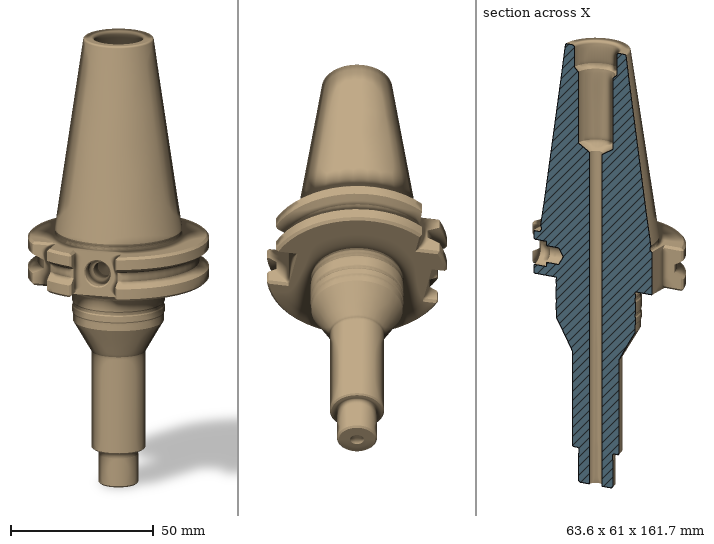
import cadquery as cq
import math


gauge_diameter = 44.45
taper_ratio = 7 / 24
taper_length = 68.25
taper_end_radius = 0.75
taper_base_z = -0.95
relief_z = -1.85
relief_diameter = 44.0
relief_fillet = 0.9

mouth_diameter = 19.0
stud_bore_diameter = 17.0
stud_bore_depth = 8.2
thread_core_diameter = 13.84
thread_core_depth = 36.0
thread_lead_in_angle = 90.0
drill_point_angle = 118.0
coolant_diameter = 4.92

flange_diameter = 63.55
flange_top_z = -3.2
flange_height = 15.9
flange_chamfer = 0.85
v_groove_z = -11.1
v_groove_floor_diameter = 56.8
v_groove_width = 7.07
v_groove_angle = 60.0
rim_clearance = 1.0

slot_width = 16.1
front_slot_floor_y = -25.0
back_slot_floor_y = 22.8
notch_wall_x = -18.2
notch_wall_y = -18.5
slot_corner_radius = 0.6
notch_corner_radius = 0.4

counterbore_mouth_diameter = 10.0
counterbore_diameter = 9.2
counterbore_depth = 5.0
cross_hole_diameter = 6.0
cross_hole_depth = 10.0

collar_diameter = 32.0
land_diameter = 32.5
land_bevel = 0.43
lands = [(-19.75, -21.45), (-22.55, -27.4), (-28.35, -31.25)]

cone_top_z = -34.05
cone_angle = 60.0
stem_diameter = 19.0
stem_end_z = -80.65
stem_chamfer = 0.5

pilot_diameter = 14.0
pilot_neck_diameter = 13.84
pilot_neck_end_z = -82.75
neck_fillet = 0.4
pilot_end_z = -93.4
pilot_chamfer = 0.6

flange_radius = flange_diameter / 2
flange_bottom_z = flange_top_z - flange_height

place_tolerance = 0.001


def taper_radius(z):
    return gauge_diameter / 2 - z * taper_ratio / 2


def cone_height(large_diameter, small_diameter, included_angle):
    return (large_diameter - small_diameter) / 2 / math.tan(math.radians(included_angle / 2))


def revolve_profile(points):
    """Turn a closed outline of (radius, z) points about the tool axis."""
    return cq.Workplane("XZ").polyline(points).close().revolve(360, (0, 0, 0), (0, 1, 0))


def make_taper():
    """Steep taper with a rounded small end and a relief filleted into the flange."""
    relief_radius = relief_diameter / 2
    taper = (
        cq.Workplane("XZ")
        .moveTo(0, taper_length)
        .lineTo(taper_radius(taper_length), taper_length)
        .lineTo(taper_radius(taper_base_z), taper_base_z)
        .lineTo(relief_radius, relief_z)
        .lineTo(relief_radius, flange_top_z + relief_fillet)
        .radiusArc((relief_radius + relief_fillet, flange_top_z), -relief_fillet)
        .lineTo(0, flange_top_z)
        .close()
        .revolve(360, (0, 0, 0), (0, 1, 0))
    )
    return taper.faces(">Z").edges().fillet(taper_end_radius)


def make_slot_cutter(floor_y):
    """Block that opens a drive slot from its floor out past the rim."""
    outer_y = math.copysign(flange_diameter, floor_y)
    outline = cq.Workplane("XY").workplane(offset=flange_bottom_z).center(0, (floor_y + outer_y) / 2)
    return outline.rect(slot_width, abs(outer_y - floor_y)).extrude(flange_height)


def make_notch_cutter():
    """Block that takes away the corner of the flange outside both notch walls."""
    outline = cq.Workplane("XY").workplane(offset=flange_bottom_z).moveTo(notch_wall_x, notch_wall_y)
    return outline.rect(-flange_diameter, -flange_diameter, centered=False).extrude(flange_height)


def is_slot_floor(edge):
    return edge.geomType() == "LINE" and math.isclose(edge.Center().x, 0, abs_tol=place_tolerance)


def upright_edges(solid, x, y):
    """Edges parallel to Z that stand at the given place."""
    return [
        edge
        for edge in solid.edges("|Z").vals()
        if math.hypot(edge.Center().x - x, edge.Center().y - y) < place_tolerance
    ]


def make_flange():
    """Flange with two drive slots, a corner notch, bevelled edges and a V groove round the rim."""
    flange = cq.Workplane("XY").workplane(offset=flange_bottom_z).circle(flange_radius).extrude(flange_height)
    for floor_y in (front_slot_floor_y, back_slot_floor_y):
        flange = flange.cut(make_slot_cutter(floor_y))
    flange = flange.cut(make_notch_cutter())

    half_slot = slot_width / 2
    mouth_y = math.sqrt(flange_radius**2 - half_slot**2)
    bevelled = [edge for edge in flange.faces("<Z or >Z").edges().vals() if not is_slot_floor(edge)]
    for x in (-half_slot, half_slot):
        for y in (-mouth_y, mouth_y):
            bevelled += upright_edges(flange, x, y)
    flange = flange.newObject(bevelled).chamfer(flange_chamfer)

    slot_corners = []
    for x in (-half_slot, half_slot):
        for y in (front_slot_floor_y, back_slot_floor_y):
            slot_corners += upright_edges(flange, x, y)
    flange = flange.newObject(slot_corners).fillet(slot_corner_radius)
    notch_corner = upright_edges(flange, notch_wall_x, notch_wall_y)
    flange = flange.newObject(notch_corner).fillet(notch_corner_radius)
    return flange.cut(make_v_groove())


def make_v_groove():
    """Ring cutter for the gripper groove: sloping flanks and a cylindrical floor."""
    floor_radius = v_groove_floor_diameter / 2
    flank_slope = math.tan(math.radians(v_groove_angle / 2))
    outer_radius = flange_radius + rim_clearance
    half_floor = v_groove_width / 2 - (flange_radius - floor_radius) * flank_slope
    half_outer = v_groove_width / 2 + rim_clearance * flank_slope
    return revolve_profile([
        (floor_radius, v_groove_z + half_floor),
        (outer_radius, v_groove_z + half_outer),
        (outer_radius, v_groove_z - half_outer),
        (floor_radius, v_groove_z - half_floor),
    ])


def make_shank():
    """Collar, cone, stem and pilot below the flange."""
    cone_bottom_z = cone_top_z - cone_height(collar_diameter, stem_diameter, cone_angle)
    stem_radius = stem_diameter / 2
    neck_radius = pilot_neck_diameter / 2
    pilot_radius = pilot_diameter / 2
    collar = revolve_profile([
        (0, flange_bottom_z),
        (collar_diameter / 2, flange_bottom_z),
        (collar_diameter / 2, cone_top_z),
        (stem_radius, cone_bottom_z),
        (stem_radius, stem_end_z + stem_chamfer),
        (stem_radius - stem_chamfer, stem_end_z),
        (0, stem_end_z),
    ])
    for top_z, bottom_z in lands:
        collar = collar.union(make_land(top_z, bottom_z))
    pilot = (
        cq.Workplane("XZ")
        .moveTo(0, stem_end_z)
        .lineTo(neck_radius + neck_fillet, stem_end_z)
        .radiusArc((neck_radius, stem_end_z - neck_fillet), -neck_fillet)
        .lineTo(neck_radius, pilot_neck_end_z)
        .lineTo(pilot_radius, pilot_neck_end_z)
        .lineTo(pilot_radius, pilot_end_z + pilot_chamfer)
        .lineTo(pilot_radius - pilot_chamfer, pilot_end_z)
        .lineTo(0, pilot_end_z)
        .close()
        .revolve(360, (0, 0, 0), (0, 1, 0))
    )
    return collar.union(pilot)


def make_land(top_z, bottom_z):
    """Raised ring on the collar with a bevel at either end."""
    return revolve_profile([
        (0, top_z),
        (collar_diameter / 2, top_z),
        (land_diameter / 2, top_z - land_bevel),
        (land_diameter / 2, bottom_z + land_bevel),
        (collar_diameter / 2, bottom_z),
        (0, bottom_z),
    ])


def make_axial_bore():
    """Pull-stud bore with a rounded mouth, running into a coolant passage through the tool."""
    stud_radius = stud_bore_diameter / 2
    core_radius = thread_core_diameter / 2
    coolant_radius = coolant_diameter / 2
    mouth_round = mouth_diameter / 2 - stud_radius
    stud_bore_end_z = taper_length - stud_bore_depth
    lead_in_end_z = stud_bore_end_z - cone_height(stud_bore_diameter, thread_core_diameter, thread_lead_in_angle)
    core_end_z = taper_length - thread_core_depth
    point_end_z = core_end_z - cone_height(thread_core_diameter, coolant_diameter, drill_point_angle)
    return (
        cq.Workplane("XZ")
        .moveTo(0, taper_length)
        .lineTo(mouth_diameter / 2, taper_length)
        .radiusArc((stud_radius, taper_length - mouth_round), -mouth_round)
        .lineTo(stud_radius, stud_bore_end_z)
        .lineTo(core_radius, lead_in_end_z)
        .lineTo(core_radius, core_end_z)
        .lineTo(coolant_radius, point_end_z)
        .lineTo(coolant_radius, pilot_end_z)
        .lineTo(0, pilot_end_z)
        .close()
        .revolve(360, (0, 0, 0), (0, 1, 0))
    )


def make_cross_hole():
    """Counterbored blind hole with a drill point, square to the front slot floor."""
    point_depth = cross_hole_depth + cone_height(cross_hole_diameter, 0, drill_point_angle)
    mouth_chamfer = (counterbore_mouth_diameter - counterbore_diameter) / 2
    profile = cq.Workplane("XY").polyline([
        (0, front_slot_floor_y),
        (counterbore_mouth_diameter / 2, front_slot_floor_y),
        (counterbore_diameter / 2, front_slot_floor_y + mouth_chamfer),
        (counterbore_diameter / 2, front_slot_floor_y + counterbore_depth),
        (cross_hole_diameter / 2, front_slot_floor_y + counterbore_depth),
        (cross_hole_diameter / 2, front_slot_floor_y + cross_hole_depth),
        (0, front_slot_floor_y + point_depth),
    ])
    cutter = profile.close().revolve(360, (0, 0, 0), (0, 1, 0))
    return cutter.translate((0, 0, v_groove_z))


body = make_taper().union(make_flange()).union(make_shank())
result = body.cut(make_axial_bore()).cut(make_cross_hole())